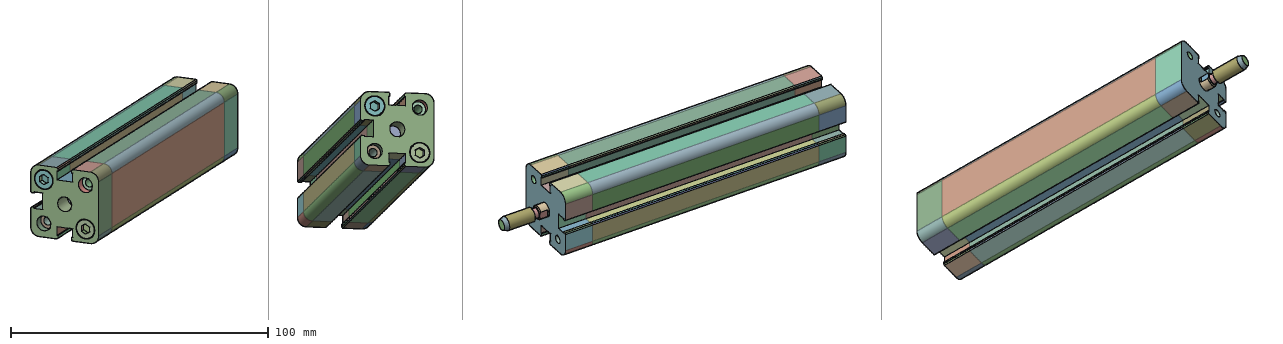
import cadquery as cq
import math

total_length = 148.5
body_width = 29.1
corner_radius = 3.5
rod_reach = 20.2
front_cap_length = 12.3
rear_cap_length = 12.5

rear_face = total_length - rod_reach

slot_neck_width = 5.8
slot_width = 6.7
slot_depth = 5.0
slot_lip = 1.5
slot_mouth_chamfer = 0.5
slot_turns = (-90, 0, 90)

hole_offset = 8.9
through_hole_diameter = 3.3
counterbore_diameter = 6.0
counterbore_depth = 3.5
center_hole_diameter = 6.0
center_hole_depth = 8.9
screw_head_diameter = 7.5
screw_recess_diameter = 8.0
screw_recess_depth = 4.5
socket_across_flats = 3.5
socket_depth = 2.2

rod_diameter = 6.0
rod_base_length = 4.3
rod_base_chamfer = 0.5
flat_across = 5.0
flat_start = 0.7
neck_diameter = 4.2
neck_length = 1.8
thread_runout = 0.5
tip_chamfer_length = 2.0
tip_diameter = 4.5


def along_y(y, x=0, z=0):
    """Workplane at (x, y, z) whose normal is +Y, with local axes X and -Z."""
    return cq.Workplane("XZ", origin=(x, y, z)).transformed(rotate=(180, 0, 0))


def cylinder(diameter, y, length, x=0, z=0):
    return along_y(y, x, z).circle(diameter / 2).extrude(length)


def body_section(y, length):
    return along_y(y).rect(body_width, body_width).extrude(length).edges("|Y").fillet(corner_radius)


def slot(turn):
    """T-slot with a chamfered mouth in the -X side, turned about the rod axis."""
    neck = slot_neck_width / 2
    mouth = neck + slot_mouth_chamfer
    upper_half = [
        (0, mouth),
        (slot_mouth_chamfer, neck),
        (slot_lip, neck),
        (slot_lip, slot_width / 2),
        (slot_depth, slot_width / 2),
    ]
    lower_half = [(depth, -height) for depth, height in reversed(upper_half)]
    profile = along_y(0, -body_width / 2).polyline(upper_half + lower_half).close()
    return profile.extrude(rear_face).rotate((0, 0, 0), (0, 1, 0), turn)


def slotted_section(y, length):
    section = body_section(y, length)
    for turn in slot_turns:
        section = section.cut(slot(turn))
    return section


def screw_socket(x, z):
    """Hexagon cutter with one corner pointing to +Z."""
    corner_diameter = socket_across_flats / math.cos(math.pi / 6)
    hexagon = along_y(0, x, z).transformed(rotate=(0, 0, 90)).polygon(6, corner_diameter)
    return hexagon.extrude(socket_depth)


def wrench_flat(side):
    """Cutter for the flat on one X side of the rod base, with a 45-degree end at the body."""
    inner = flat_across / 2
    outer = rod_diameter / 2
    start = rear_face + flat_start
    end = rear_face + rod_base_length
    outline = [
        (side * inner, start),
        (side * inner, end),
        (side * outer, end),
        (side * outer, start - (outer - inner)),
    ]
    return cq.Workplane("XY").polyline(outline).close().extrude(rod_diameter / 2, both=True)


def piston_rod():
    neck_start = rear_face + rod_base_length
    thread_start = neck_start + neck_length
    base = cylinder(rod_diameter, rear_face, rod_base_length).faces(">Y").chamfer(rod_base_chamfer)
    for side in (-1, 1):
        base = base.cut(wrench_flat(side))
    neck = cylinder(neck_diameter, neck_start, neck_length)
    thread = cylinder(rod_diameter, thread_start, total_length - thread_start)
    tip_step = (rod_diameter - tip_diameter) / 2
    runout_step = (rod_diameter - neck_diameter) / 2
    thread = thread.faces("<Y").chamfer(thread_runout, runout_step)
    thread = thread.faces(">Y").chamfer(tip_chamfer_length, tip_step)
    return base.union(neck).union(thread)


tube_start = front_cap_length
tube_end = rear_face - rear_cap_length
result = slotted_section(0, front_cap_length)
result = result.union(slotted_section(tube_start, tube_end - tube_start), clean=False)
result = result.union(slotted_section(tube_end, rear_cap_length), clean=False)
result = result.union(piston_rod(), clean=False)

for side in (-1, 1):
    x = side * hole_offset
    z = -side * hole_offset
    recess = cylinder(screw_recess_diameter, 0, screw_recess_depth, x, z)
    head = cylinder(screw_head_diameter, 0, screw_recess_depth, x, z)
    result = result.cut(recess.cut(head), clean=False).cut(screw_socket(x, z), clean=False)
    through = cylinder(through_hole_diameter, 0, rear_face, x, -z)
    counterbore = cylinder(counterbore_diameter, 0, counterbore_depth, x, -z)
    result = result.cut(through, clean=False).cut(counterbore, clean=False)

result = result.cut(cylinder(center_hole_diameter, 0, center_hole_depth), clean=False)